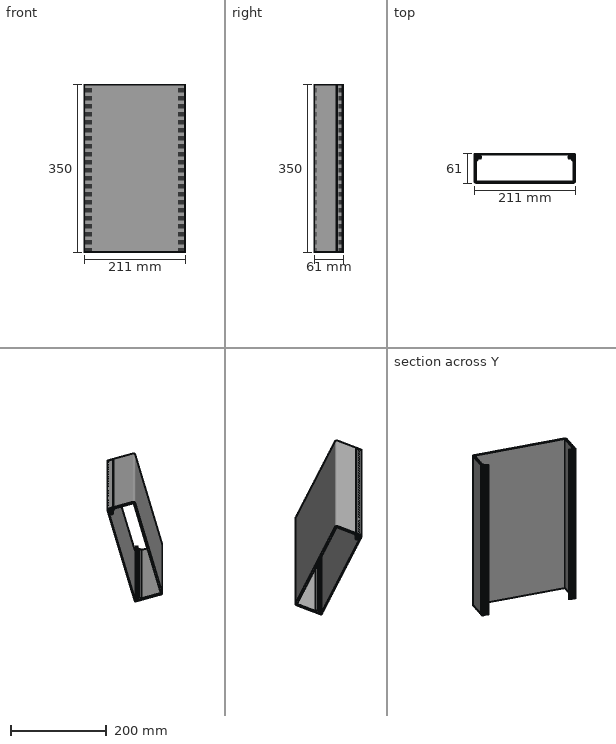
import cadquery as cq

WIDTH = 211.0
DEPTH = 61.0
LENGTH = 350.0
HALF_WIDTH = WIDTH / 2
BACK = DEPTH / 2
FRONT = -BACK

WALL = 4.0
CORNER_RADIUS = 4.5

COVER_PLATE = 2.0
COVER_LEG = 2.0
COVER_LEG_DEPTH = 13.0
COVER_RADIUS = 2.5

LEDGE_DEPTH = 14.5
LEDGE_INSET = 1.5
SHOULDER_INSET = 2.5
SHOULDER_DEPTH = 11.2
NECK_INSET = 3.5
NECK_DEPTH = 8.8
BARB_INSET = 2.5
BARB_LOW_DEPTH = 7.0
BARB_HIGH_DEPTH = 6.0
BARB_CHAMFER_DEPTH = 5.0
POST_TOP_DEPTH = 2.8
POST_INNER_INSET = 6.0
SHELF_TOP_DEPTH = 7.5
SHELF_BOTTOM_DEPTH = 9.8
SHELF_ROOT_INSET = 7.0
BRACE_TOP_DEPTH = 12.2
BRACE_FOOT_DEPTH = 16.0

BEAD_INNER_INSET = 9.8
BEAD_INNER_DEPTH = 6.3
BEAD_ROOT_INSET = 11.0
BEAD_TOP_INSET = 11.2
BEAD_TOP_DEPTH = 4.0
BEAD_TIP_INSET = 14.7
BEAD_TIP_DEPTH = 6.3
BEAD_BOTTOM_INSET = 13.5


def right_point(inset, depth):
    """Section point measured inward from the right side and forward from the back."""
    return (HALF_WIDTH - inset, BACK - depth)


def extrude_profile(points):
    return cq.Workplane("XY").polyline(points).close().extrude(LENGTH)


def mirrored_profile(right_points):
    """Close a right-hand half outline with its mirror image across X = 0."""
    left_points = [(-x, y) for x, y in reversed(right_points)]
    return extrude_profile(right_points + left_points)


def make_trough():
    """Open U-shaped channel with a snap head on each wall, above a groove left by the cover legs."""
    profile = mirrored_profile([
        (HALF_WIDTH, FRONT),
        right_point(0, LEDGE_DEPTH),
        right_point(LEDGE_INSET, LEDGE_DEPTH),
        right_point(COVER_LEG, COVER_LEG_DEPTH),
        right_point(SHOULDER_INSET, SHOULDER_DEPTH),
        right_point(NECK_INSET, NECK_DEPTH),
        right_point(BARB_INSET, BARB_LOW_DEPTH),
        right_point(BARB_INSET, BARB_HIGH_DEPTH),
        right_point(NECK_INSET, BARB_CHAMFER_DEPTH),
        right_point(NECK_INSET, POST_TOP_DEPTH),
        right_point(POST_INNER_INSET, POST_TOP_DEPTH),
        right_point(POST_INNER_INSET, SHELF_TOP_DEPTH),
        right_point(BEAD_ROOT_INSET, SHELF_TOP_DEPTH),
        right_point(BEAD_INNER_INSET, BEAD_INNER_DEPTH),
        right_point(BEAD_INNER_INSET, BEAD_TOP_DEPTH),
        right_point(BEAD_TOP_INSET, BEAD_TOP_DEPTH),
        right_point(BEAD_TIP_INSET, BEAD_TIP_DEPTH),
        right_point(BEAD_TIP_INSET, SHELF_TOP_DEPTH),
        right_point(BEAD_BOTTOM_INSET, SHELF_BOTTOM_DEPTH),
        right_point(SHELF_ROOT_INSET, SHELF_BOTTOM_DEPTH),
        right_point(SHELF_ROOT_INSET, BRACE_TOP_DEPTH),
        right_point(WALL, BRACE_FOOT_DEPTH),
        (HALF_WIDTH - WALL, FRONT + WALL),
    ])
    return profile.edges("|Z and <Y").fillet(CORNER_RADIUS)


def make_cover():
    """Flat lid whose side legs clip outside the snap heads."""
    profile = mirrored_profile([
        right_point(0, 0),
        right_point(0, COVER_LEG_DEPTH),
        right_point(COVER_LEG, COVER_LEG_DEPTH),
        right_point(COVER_LEG, COVER_PLATE),
    ])
    return profile.edges("|Z and >Y").fillet(COVER_RADIUS)


trough = make_trough()
cover = make_cover()

result = cq.Compound.makeCompound([trough.val(), cover.val()])